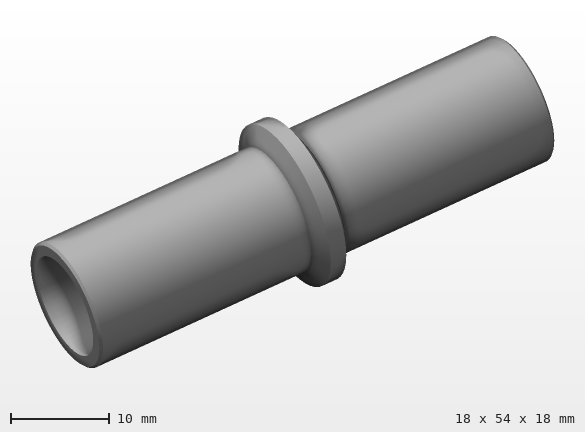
import cadquery as cq

length = 54
tube_diameter = 13.95
bore_diameter = 11.0
end_chamfer = 0.25

collar_diameter = 18.0
collar_base_width = 4.0
collar_rim_width = 1.85


def make_tube():
    """Solid round bar centred on the origin, with chamfered ends."""
    bar = cq.Workplane("XZ").circle(tube_diameter / 2).extrude(length / 2, both=True)
    return bar.faces("<Y or >Y").chamfer(end_chamfer)


def make_collar():
    """Ring with a flat rim and a conical flank on each side."""
    rim_radius = collar_diameter / 2
    tube_radius = tube_diameter / 2
    half_base = collar_base_width / 2
    half_rim = collar_rim_width / 2
    profile = (
        cq.Workplane("XY")
        .moveTo(0, -half_base)
        .lineTo(tube_radius, -half_base)
        .lineTo(rim_radius, -half_rim)
        .lineTo(rim_radius, half_rim)
        .lineTo(tube_radius, half_base)
        .lineTo(0, half_base)
        .close()
    )
    return profile.revolve(360, (0, 0, 0), (0, 1, 0))


def make_bore():
    """Cylinder that opens the tube from end to end."""
    return cq.Workplane("XZ").circle(bore_diameter / 2).extrude(length / 2, both=True)


result = make_tube().union(make_collar()).cut(make_bore())